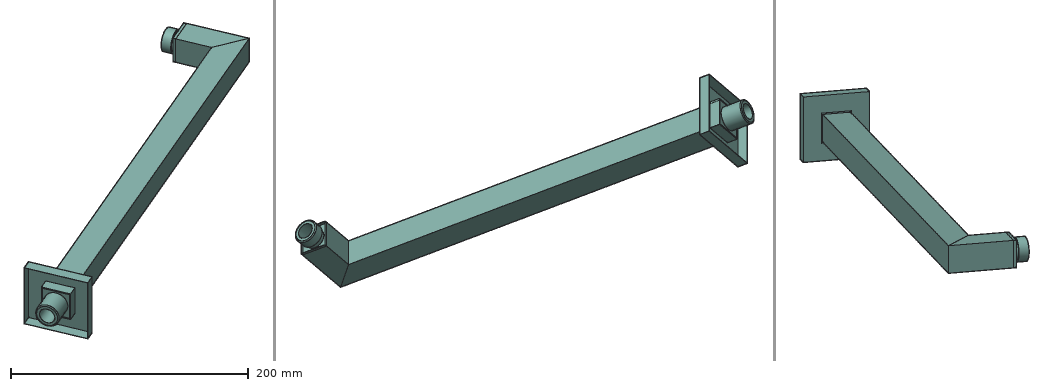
import cadquery as cq

ARM_SIDE = 24.5
ARM_LENGTH = 400.7
OUTLET_REACH = 47.5
RECESS_DEPTH = 2.5
RECESS_WALL = 0.5

FLANGE_SIDE = 58.0
FLANGE_DEPTH = 10.0
FLANGE_WALL = 0.2
FLANGE_FLOOR = 0.5
FLANGE_EDGE_RADIUS = 1.0
COLLAR_SIDE = 26.5

THREAD_DIAMETER = 21.5
THREAD_DEPTH = 1.18
LEAD_IN = 0.67
BORE_DIAMETER = 14.0
NECK_DIAMETER = 18.0
INLET_LENGTH = 19.8
OUTLET_PROJECTION = 11.8
OUTLET_THREAD_LENGTH = 9.3

HALF_ARM = ARM_SIDE / 2
OUTLET_AXIS_Y = ARM_LENGTH - HALF_ARM


def square_bar(side, y_start, y_end):
    """Square bar along Y, centred on the Y axis."""
    length = y_end - y_start
    return cq.Workplane("XY").box(side, length, side).translate((0, y_start + length / 2, 0))


def make_long_leg():
    outline = [
        (-HALF_ARM, 0),
        (HALF_ARM, 0),
        (HALF_ARM, ARM_LENGTH),
        (-HALF_ARM, ARM_LENGTH - ARM_SIDE),
    ]
    return cq.Workplane("XY").polyline(outline).close().extrude(HALF_ARM, both=True)


def make_outlet_leg():
    outline = [
        (HALF_ARM, ARM_LENGTH),
        (-OUTLET_REACH, ARM_LENGTH),
        (-OUTLET_REACH, ARM_LENGTH - ARM_SIDE),
        (-HALF_ARM, ARM_LENGTH - ARM_SIDE),
    ]
    leg = cq.Workplane("XY").polyline(outline).close().extrude(HALF_ARM, both=True)
    recess_side = ARM_SIDE - 2 * RECESS_WALL
    recess = (
        cq.Workplane("XY")
        .box(RECESS_DEPTH, recess_side, recess_side)
        .translate((-OUTLET_REACH + RECESS_DEPTH / 2, OUTLET_AXIS_Y, 0))
    )
    return leg.cut(recess)


def make_flange():
    cap = square_bar(FLANGE_SIDE, 0, FLANGE_DEPTH).faces(">Y").edges().fillet(FLANGE_EDGE_RADIUS)
    cavity_side = FLANGE_SIDE - 2 * FLANGE_WALL
    cavity_depth = FLANGE_DEPTH - FLANGE_FLOOR
    cavity = square_bar(cavity_side, 0, cavity_depth)
    collar = square_bar(COLLAR_SIDE, 0, cavity_depth)
    arm_hole = square_bar(ARM_SIDE, 0, FLANGE_DEPTH)
    return cap.cut(cavity.cut(collar)).cut(arm_hole)


def make_nipple(base, direction, thread_length, neck_length=0):
    """Bored pipe end standing on `base`: an optional neck, then a thread with a lead-in chamfer."""
    base_plane = cq.Plane(origin=base, xDir=(0, 0, 1), normal=direction)
    length = neck_length + thread_length
    nipple = cq.Workplane(base_plane).circle(THREAD_DIAMETER / 2).extrude(length)
    nipple = nipple.faces(cq.selectors.DirectionMinMaxSelector(cq.Vector(*direction), True))
    nipple = nipple.chamfer(LEAD_IN, THREAD_DEPTH)
    if neck_length > 0:
        groove = cq.Workplane(base_plane).circle(THREAD_DIAMETER).circle(NECK_DIAMETER / 2)
        nipple = nipple.cut(groove.extrude(neck_length))
    bore = cq.Workplane(base_plane).circle(BORE_DIAMETER / 2).extrude(length)
    return nipple.cut(bore)


long_leg = make_long_leg()
outlet_leg = make_outlet_leg()
flange = make_flange()

inlet_nipple = make_nipple((0, 0, 0), (0, -1, 0), INLET_LENGTH)

outlet_nipple = make_nipple(
    (-OUTLET_REACH + RECESS_DEPTH, OUTLET_AXIS_Y, 0),
    (-1, 0, 0),
    OUTLET_THREAD_LENGTH,
    OUTLET_PROJECTION - OUTLET_THREAD_LENGTH + RECESS_DEPTH,
)

result = cq.Compound.makeCompound(
    [long_leg.val(), outlet_leg.val(), flange.val(), inlet_nipple.val(), outlet_nipple.val()]
)